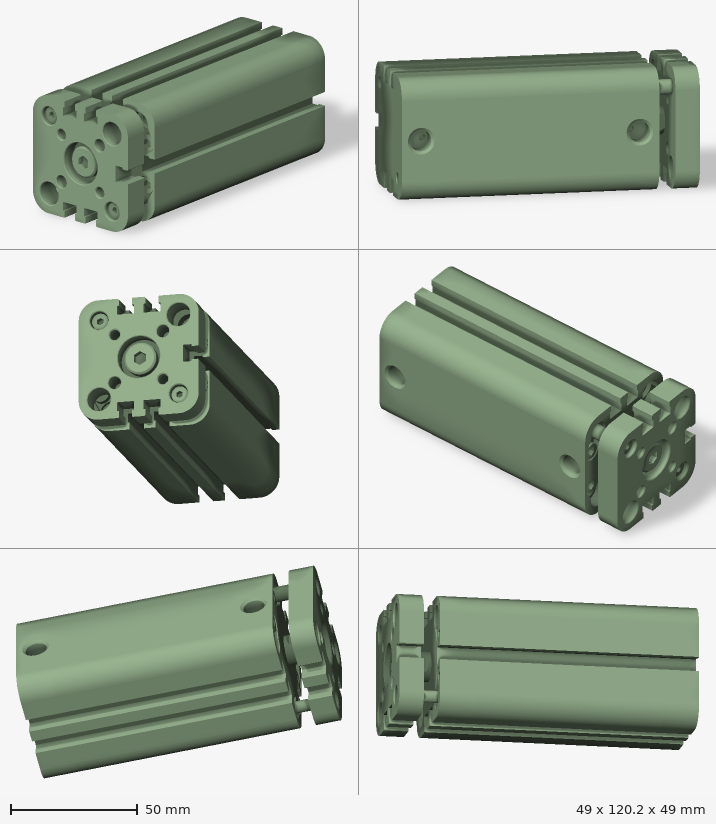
import cadquery as cq
import math


width = 49.0
half_width = width / 2
corner_radius = 8.0
total_length = 120.2
plate_thickness = 9.9
gap = 6.5
cap_length = 14.1
front_cap_start = plate_thickness + gap
barrel_start = front_cap_start + cap_length
rear_cap_start = total_length - cap_length

plate_slot_offset = 5.4
plate_slot_opening = 5.4
plate_slot_chamfer = 0.3
barrel_slot_offset = 5.3
barrel_slot_opening = 5.8
slot_inner_width = 7.0
slot_lip = 2.9
slot_depth = 6.5

corner_offset = 16.2
mounting_corners = [(-corner_offset, -corner_offset), (corner_offset, corner_offset)]
pin_corners = [(-corner_offset, corner_offset), (corner_offset, -corner_offset)]
pin_diameters = [6.0, 4.8]

access_hole_diameter = 9.5
plate_hole_chamfer = 0.3
tool_hole_offset = 9.9
threaded_hole_diameter = 4.2
threaded_hole_chamfer = 0.42
dowel_hole_diameter = 5.0

pin_screw_pocket = 7.5
pin_screw_chamfer = 0.4
pin_screw_head = 6.6
pin_screw_socket = 2.5
rod_screw_pocket = 17.2
rod_screw_head = 13.0
rod_screw_edge = 0.7
rod_screw_socket = 4.9
socket_depth = 2.4
socket_point_angle = 118
head_recess = 1.8
pocket_depth = 6.0

rod_diameter = 12.0
rod_across_flats = 10.0
flat_length = 4.5
flat_run_out = 1.1
rod_tip_length = 1.5
rod_tip_diameter = 11.0

mounting_hole_diameter = 4.9
mounting_hole_chamfer = 0.7
mounting_bore_diameter = 9.5
mounting_bore_depth = 4.8
pin_recess_diameter = 8.5
pin_recess_chamfer = 0.2
pin_recess_depth = 1.2
cap_screw_x = 20.2
cap_screw_z = 8.7
cap_screw_pocket = 7.5
cap_screw_head = 7.0
cap_screw_socket = 3.5
cap_screw_recess = 0.4
cap_screw_pocket_depth = 3.0

port_from_end = 7.8
port_diameter = 8.5
port_mouth_diameter = 10.7
port_mouth_depth = 1.1
port_depth = 7.8
air_hole_diameter = 2.5
air_hole_shift = 2.0
air_hole_depth = 3.6


def plane_at(y):
    """Plane across the axis: local x is +X, local y is -Z and the normal is +Y."""
    return cq.Plane(origin=(0, y, 0), xDir=(1, 0, 0), normal=(0, 1, 0))


def at(point):
    """Local coordinates, on a plane_at() plane, of a point given as (X, Z)."""
    x, z = point
    return (x, -z)


def disc(point, diameter, start, length):
    return cq.Workplane(plane_at(start)).center(*at(point)).circle(diameter / 2).extrude(length)


def cone(point, start_diameter, end_diameter, start, length):
    x, z = point
    solid = cq.Solid.makeCone(
        start_diameter / 2, end_diameter / 2, length, cq.Vector(x, start, z), cq.Vector(0, 1, 0)
    )
    return cq.Workplane(solid)


def rounded_block(start, length):
    block = cq.Workplane("XY").box(width, length, width, centered=(True, False, True))
    return block.edges("|Y").fillet(corner_radius).translate((0, start, 0))


def t_slot(opening_width, start, length):
    """T-slot open at the +Z face, centred on X = 0."""
    floor = half_width - slot_depth
    inner_height = slot_depth - slot_lip
    centered = (True, False, False)
    opening = cq.Workplane("XY").box(opening_width, length, slot_depth, centered=centered)
    inner = cq.Workplane("XY").box(slot_inner_width, length, inner_height, centered=centered)
    return opening.union(inner).translate((0, start, floor))


def cut_slots(block, slot, offset):
    """Cut the slot twice on top, twice below and once in the +X side."""
    for turn in (0, 180):
        for x in (-offset, offset):
            placed = slot.translate((x, 0, 0)).rotate((0, 0, 0), (0, 1, 0), turn)
            block = block.cut(placed, clean=False)
    return block.cut(slot.rotate((0, 0, 0), (0, 1, 0), 90), clean=False)


def hex_socket(point, across_flats, start):
    """Hexagonal socket with flats facing +X and -X and a drilled conical bottom."""
    across_corners = across_flats / math.cos(math.radians(30))
    point_length = across_corners / 2 / math.tan(math.radians(socket_point_angle / 2))
    prism = (
        cq.Workplane(plane_at(start))
        .center(*at(point))
        .transformed(rotate=(0, 0, 30))
        .polygon(6, across_corners)
        .extrude(socket_depth + point_length)
    )
    drill = disc(point, across_corners, start, socket_depth)
    drill = drill.union(cone(point, across_corners, 0, start + socket_depth, point_length))
    return prism.intersect(drill)


def screw_head(point, diameter, socket, start, length):
    return disc(point, diameter, start, length).cut(hex_socket(point, socket, start))


def chamfered_hole(point, diameter, chamfer, start, depth):
    mouth = cone(point, diameter + 2 * chamfer, diameter, start, chamfer)
    return disc(point, diameter, start, depth).union(mouth)


def slot_mouth_chamfer():
    """Tapered wedge that breaks both edges of a plate slot's mouth."""
    inner_x = plate_slot_opening / 2
    outer_x = inner_x + plate_slot_chamfer
    inner_z = half_width - plate_slot_chamfer
    outline = [
        at((-outer_x, half_width)),
        at((outer_x, half_width)),
        at((inner_x, inner_z)),
        at((-inner_x, inner_z)),
    ]
    return cq.Workplane(plane_at(0)).polyline(outline).close().extrude(plate_thickness)


def make_plate():
    """Yoke plate with its slots, holes and the heads of its three screws."""
    slot = t_slot(plate_slot_opening, 0, plate_thickness)
    slot = slot.union(slot_mouth_chamfer())
    plate = cut_slots(rounded_block(0, plate_thickness), slot, plate_slot_offset)
    for corner in mounting_corners:
        plate = plate.cut(
            chamfered_hole(corner, access_hole_diameter, plate_hole_chamfer, 0, plate_thickness)
        )
    for sign in (-1, 1):
        threaded = (sign * tool_hole_offset, -sign * tool_hole_offset)
        dowel = (sign * tool_hole_offset, sign * tool_hole_offset)
        plate = plate.cut(
            chamfered_hole(
                threaded, threaded_hole_diameter, threaded_hole_chamfer, 0, plate_thickness
            )
        )
        plate = plate.cut(
            chamfered_hole(dowel, dowel_hole_diameter, plate_hole_chamfer, 0, plate_thickness)
        )
    head_length = pocket_depth - head_recess
    for corner in pin_corners:
        plate = plate.cut(
            chamfered_hole(corner, pin_screw_pocket, pin_screw_chamfer, 0, pocket_depth)
        )
        plate = plate.union(
            screw_head(corner, pin_screw_head, pin_screw_socket, head_recess, head_length)
        )
    centre = (0, 0)
    plate = plate.cut(chamfered_hole(centre, rod_screw_pocket, plate_hole_chamfer, 0, pocket_depth))
    head = disc(centre, rod_screw_head, head_recess, head_length).faces("<Y").chamfer(rod_screw_edge)
    return plate.union(head.cut(hex_socket(centre, rod_screw_socket, head_recess)))


def make_rod():
    """Piston rod in the gap, with a tapered tip and two flats facing -X and +X."""
    tip_end = plate_thickness + rod_tip_length
    rod = disc((0, 0), rod_diameter, tip_end, front_cap_start - tip_end)
    rod = rod.union(cone((0, 0), rod_tip_diameter, rod_diameter, plate_thickness, rod_tip_length))
    flat_end = plate_thickness + flat_length
    flat_x = rod_across_flats / 2
    shoulder_x = flat_x + flat_run_out
    core = (
        cq.Workplane("XY")
        .moveTo(0, plate_thickness)
        .lineTo(flat_x, plate_thickness)
        .lineTo(flat_x, flat_end)
        .lineTo(shoulder_x, flat_end + flat_run_out)
        .lineTo(shoulder_x, front_cap_start)
        .lineTo(0, front_cap_start)
        .mirrorY()
        .extrude(rod_diameter, both=True)
    )
    return rod.intersect(core)


def make_port(y, inward):
    """Stepped air port on the -X side; inward is the Y direction of the barrel's middle."""

    def bore(diameter, centre_y, depth, start_x):
        face = cq.Plane(origin=(start_x, centre_y, 0), xDir=(0, 1, 0), normal=(1, 0, 0))
        return cq.Workplane(face).circle(diameter / 2).extrude(depth)

    mouth = cq.Workplane(
        cq.Solid.makeCone(
            port_mouth_diameter / 2,
            port_diameter / 2,
            port_mouth_depth,
            cq.Vector(-half_width, y, 0),
            cq.Vector(1, 0, 0),
        )
    )
    air_hole = bore(
        air_hole_diameter, y + inward * air_hole_shift, air_hole_depth, port_depth - half_width
    )
    return bore(port_diameter, y, port_depth, -half_width).union(mouth).union(air_hole)


def oblong_recess(x, z):
    """Oblong recess reaching from a cap screw to the corner beside it."""
    corner = (math.copysign(corner_offset, x), math.copysign(corner_offset, z))
    run_x = corner[0] - x
    run_z = corner[1] - z
    run = math.hypot(run_x, run_z)
    direction = cq.Vector(run_x, 0, run_z)
    channel = (
        cq.Workplane(cq.Plane(origin=(x, front_cap_start, z), xDir=direction, normal=(0, 1, 0)))
        .center(run / 2, 0)
        .rect(run, cap_screw_pocket)
        .extrude(cap_screw_pocket_depth)
    )
    return channel.union(disc((x, z), cap_screw_pocket, front_cap_start, cap_screw_pocket_depth))


def make_front_cap():
    """Front cap with the pin recesses, mounting bores, four screws and an air port."""
    cap = rounded_block(front_cap_start, cap_length)
    for x in (-cap_screw_x, cap_screw_x):
        for z in (-cap_screw_z, cap_screw_z):
            cap = cap.cut(oblong_recess(x, z))
    for corner in mounting_corners:
        cap = cap.cut(disc(corner, mounting_bore_diameter, front_cap_start, mounting_bore_depth))
        hole_start = front_cap_start + mounting_bore_depth
        hole_length = cap_length - mounting_bore_depth
        cap = cap.cut(
            chamfered_hole(
                corner, mounting_hole_diameter, mounting_hole_chamfer, hole_start, hole_length
            )
        )
    for corner in pin_corners:
        cap = cap.cut(
            chamfered_hole(
                corner, pin_recess_diameter, pin_recess_chamfer, front_cap_start, pin_recess_depth
            )
        )
    head_start = front_cap_start + cap_screw_recess
    head_length = socket_depth + cap_screw_head / 2
    for x in (-cap_screw_x, cap_screw_x):
        for z in (-cap_screw_z, cap_screw_z):
            head = disc((x, z), cap_screw_head, head_start, head_length)
            cap = cap.union(head).cut(hex_socket((x, z), cap_screw_socket, head_start))
    return cap.cut(make_port(front_cap_start + port_from_end, 1))


def make_rear_cap():
    cap = rounded_block(rear_cap_start, cap_length)
    return cap.cut(make_port(total_length - port_from_end, -1))


def make_body():
    """Barrel between its caps, with the mounting holes and slots running right through."""
    body = rounded_block(barrel_start, rear_cap_start - barrel_start)
    body = body.union(make_front_cap(), clean=False).union(make_rear_cap(), clean=False)
    for corner in mounting_corners:
        drill = disc(corner, mounting_hole_diameter, barrel_start, total_length - barrel_start)
        body = body.cut(drill, clean=False)
    slot = t_slot(barrel_slot_opening, front_cap_start, total_length - front_cap_start)
    return cut_slots(body, slot, barrel_slot_offset)


result = make_body().union(make_rod(), clean=False)
pin_end = front_cap_start + cap_screw_pocket_depth
for pin_corner, pin_diameter in zip(pin_corners, pin_diameters):
    pin = disc(pin_corner, pin_diameter, plate_thickness, pin_end - plate_thickness)
    result = result.union(pin, clean=False)
result = result.union(make_plate(), clean=False)